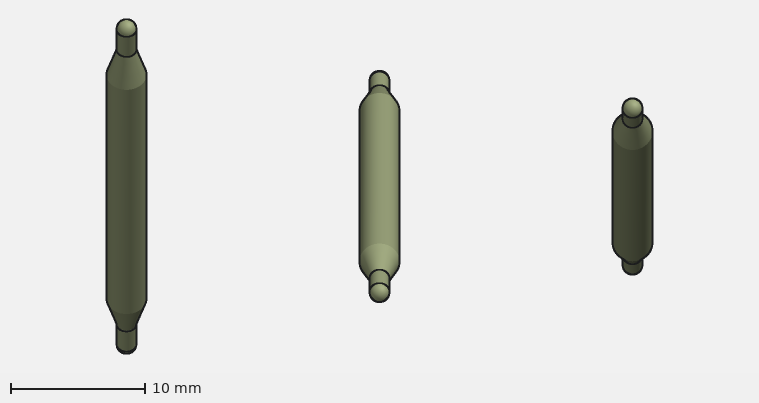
import cadquery as cq

total_length = 38.0
handle_diameter = 3.0
rod_diameter = handle_diameter / 2

taper_start = 13.0
taper_end = 15.77
collar_end = 15.92

handle_radius = handle_diameter / 2
rod_radius = rod_diameter / 2
rod_end = total_length / 2 - rod_radius


def make_handle():
    """Solid handle: a cylinder with a taper and a short collar at both ends."""
    outline = [
        (0, -collar_end),
        (rod_radius, -collar_end),
        (rod_radius, -taper_end),
        (handle_radius, -taper_start),
        (handle_radius, taper_start),
        (rod_radius, taper_end),
        (rod_radius, collar_end),
        (0, collar_end),
    ]
    return cq.Workplane("XZ").polyline(outline).close().revolve(360, (0, 0), (0, 1))


def make_upper_rod():
    """Round rod standing on the upper end face of the handle."""
    return (
        cq.Workplane("XY")
        .workplane(offset=collar_end)
        .circle(rod_radius)
        .extrude(rod_end - collar_end)
    )


def make_upper_tip():
    """Hemisphere sitting on the flat end of the upper rod."""
    return (
        cq.Workplane("YZ")
        .moveTo(0, rod_end)
        .lineTo(rod_radius, rod_end)
        .radiusArc((0, rod_end + rod_radius), -rod_radius)
        .close()
        .revolve(360, (0, 0), (0, 1))
    )


handle = make_handle()
rods = []
tips = []
for turn in (0, 180):
    rods.append(make_upper_rod().rotate((0, 0, 0), (0, 1, 0), turn).val())
    tips.append(make_upper_tip().rotate((0, 0, 0), (0, 1, 0), turn).val())

result = cq.Compound.makeCompound([handle.val(), *rods, *tips])